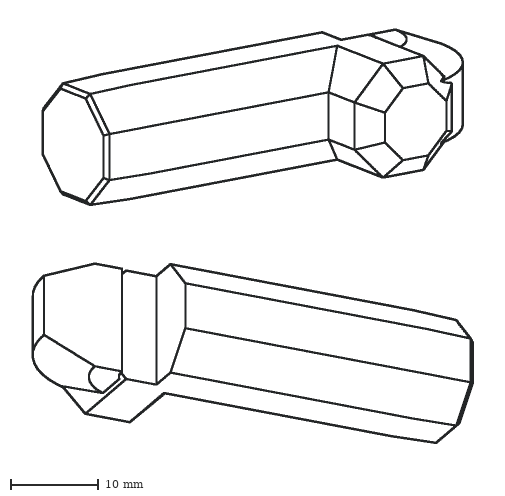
import cadquery as cq
import math


bar_width = 13.58

overall_length = 51.44
shaft_top_y = -1.0
tip_taper_length = 6.0
tip_taper_inset = 0.18
tip_chamfer = 0.5

arm_start_x = 1.0
arm_end_x = 14.5
arm_bevel = 2.5

ring_inner_radius = 3.8
ring_flat_radius = 7.25
ring_outer_radius = 13.7
ring_clearance = 0.36
ring_rim_thickness = 7.4
ring_angle = 90

shaft_end_y = ring_outer_radius - overall_length
tip_width = bar_width - 2 * tip_taper_inset
shaft_length = shaft_top_y - shaft_end_y
arm_length = arm_end_x - arm_start_x
ring_half_thickness = bar_width / 2 - ring_clearance


def octagon_wire(plane, across_flats):
    """Regular octagon centred on the plane, with flats square to its axes."""
    half_flat = across_flats / 2
    half_side = half_flat * math.tan(math.pi / 8)
    quarter = [(half_flat, half_side), (half_side, half_flat)]
    points = []
    for _ in range(4):
        points.extend(quarter)
        quarter = [(-y, x) for x, y in quarter]
    return cq.Workplane(plane).polyline(points).close().wire().val()


def octagonal_bar(origin, direction, sections):
    """Chain of octagonal frustums; each section is (distance along the axis, width)."""
    wires = []
    for distance, width in sections:
        center = cq.Vector(*origin) + cq.Vector(*direction) * distance
        plane = cq.Plane(origin=center, xDir=(0, 0, 1), normal=direction)
        wires.append(octagon_wire(plane, width))
    return cq.Workplane(obj=cq.Solid.makeLoft(wires, True))


def make_shaft():
    """Straight bar with a slightly tapered, chamfered tip."""
    sections = [
        (0, bar_width),
        (shaft_length - tip_taper_length, bar_width),
        (shaft_length - tip_chamfer, tip_width),
        (shaft_length, tip_width - 2 * tip_chamfer),
    ]
    return octagonal_bar((0, shaft_top_y, 0), (0, -1, 0), sections)


def make_arm():
    """Short side bar with a 45 degree bevel around its free end."""
    sections = [
        (0, bar_width),
        (arm_length - arm_bevel, bar_width),
        (arm_length, bar_width - 2 * arm_bevel),
    ]
    return octagonal_bar((arm_start_x, 0, 0), (1, 0, 0), sections)


def make_quarter_ring():
    """Quarter ring from the +Y side round to the arm, thinning conically to its rim."""
    half_rim = ring_rim_thickness / 2
    profile = [
        (ring_inner_radius, -ring_half_thickness),
        (ring_flat_radius, -ring_half_thickness),
        (ring_outer_radius, -half_rim),
        (ring_outer_radius, half_rim),
        (ring_flat_radius, ring_half_thickness),
        (ring_inner_radius, ring_half_thickness),
    ]
    ring = cq.Workplane("XZ").polyline(profile).close()
    return ring.revolve(ring_angle, (0, 0, 0), (0, 1, 0))


result = make_shaft().union(make_arm()).union(make_quarter_ring())